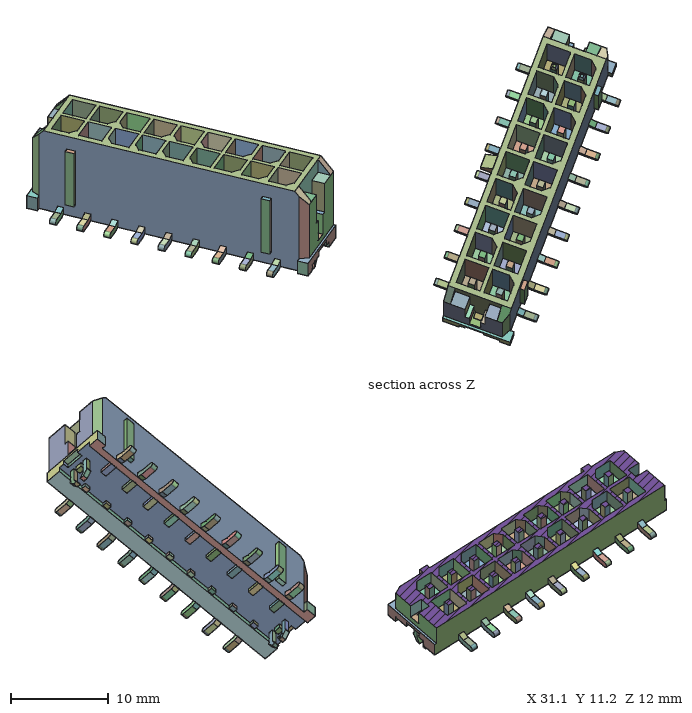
import cadquery as cq


LENGTH = 31.15
HOUSING_DEPTH = 6.88
HOUSING_TOP = 9.85
BACK = HOUSING_DEPTH / 2
FRONT = -BACK
BASE_TOP = 1.6
STANDOFF = 0.47
FOOT_FRONT = FRONT - STANDOFF
FOOT_LENGTH = 1.18

WING_SPAN = 30.65
WING_TOP = 8.25
END_WALL_SPAN = 27.82
BEVEL_LENGTH = 0.95
BEVEL_DEPTH = 0.47
RECESS_FRONT = -2.4
RECESS_BACK = 2.68
UPPER_SLOT_WIDTH = 2.15
UPPER_SLOT_FLOOR = 4.7
LOWER_SLOT_WIDTH = 1.2
LOWER_SLOT_FLOOR = 2.25
FLOOR_HOLE_SPAN = 29.2
FLOOR_HOLE_WIDTH = 0.9
FLOOR_HOLE_DEPTH = 0.3

CHANNEL_FRONT = -2.75
CHANNEL_BACK = 1.65
CHANNEL_HEIGHT = 0.65
NOTCH_WIDTH = 2.02
NOTCH_TOP = 1.2
NOTCH_DEPTH = 0.62

RIB_WIDTH = 1.0
RIB_CENTER = 10.85

LATCH_WIDTH = 1.45
LATCH_REACH = 1.4
LATCH_RAMP_TOP = 9.22
LATCH_RAMP_BOTTOM = 7.7
LATCH_UNDERSIDE = 6.9
LATCH_FILLET = 0.5

CAVITY_SIZE = 2.6
CAVITY_FLOOR = 2.18
KEY_LENGTH = 0.65
KEY_DEPTH = 0.75
BACK_ROW_KEYS = "-RLRLLRR-"
FRONT_ROW_KEYS = "R-LLLLRRR"
COLUMNS = len(FRONT_ROW_KEYS)
ROW_LENGTH = 24.02
PITCH = ROW_LENGTH / (COLUMNS - 1)
PIN_SIZE = 0.7
PIN_TOP = 6.85
TIP_INSET = 0.2
TIP_HEIGHT = 0.45
TAIL_REACH = 5.6
TAIL_BOTTOM = -0.11
TAIL_STEP = 0.295
STEP_START = 3.35
STEP_END = 4.17
STEP_OFFSET = 0.22

CLIP_SPAN = 28.88
CLIP_THICKNESS = 0.53
CLIP_BOTTOM = -2.12
CLIP_HALF_WIDTH = 1.15
LEG_INNER = 0.7
BARB_HALF_WIDTH = 1.28
BARB_TOP = -1.15
BARB_TIP = -1.3
LEG_BEND = -1.4
TOE_INNER = 0.25
TOE_OUTER = 0.72
TONGUE_WIDTH = 0.72


def box(x0, x1, y0, y1, z0, z1):
    return cq.Workplane("XY").box(x1 - x0, y1 - y0, z1 - z0, centered=False).translate((x0, y0, z0))


def both_ends(shape):
    """The shape at the -X end together with its mirror image at the +X end."""
    return shape.union(shape.mirror("YZ"))


def extrude_yz(points, x0, x1):
    """Prism along X with a closed outline given as (y, z) points."""
    return cq.Workplane("YZ").polyline(points).close().extrude(x1 - x0).translate((x0, 0, 0))


def make_upper_housing():
    half_span = WING_SPAN / 2
    half_top = END_WALL_SPAN / 2
    side = (
        cq.Workplane("XZ", origin=(0, BACK, 0))
        .polyline([
            (-half_span, 0),
            (half_span, 0),
            (half_span, WING_TOP),
            (half_top, HOUSING_TOP),
            (-half_top, HOUSING_TOP),
            (-half_span, WING_TOP),
        ])
        .close()
        .extrude(HOUSING_DEPTH)
    )
    bevel = (
        cq.Workplane("XY")
        .polyline([
            (-half_span, FRONT),
            (-half_span + BEVEL_LENGTH, FRONT),
            (-half_span, FRONT + BEVEL_DEPTH),
        ])
        .close()
        .extrude(HOUSING_TOP)
    )
    return side.cut(both_ends(bevel))


def make_base():
    half = LENGTH / 2
    base = box(-half, half, FRONT, BACK, 0, BASE_TOP)
    foot = box(-half, -half + FOOT_LENGTH, FOOT_FRONT, FRONT, 0, BASE_TOP)
    return base.union(both_ends(foot))


def make_wing_cuts():
    outer = -LENGTH / 2
    wall = -END_WALL_SPAN / 2
    upper = UPPER_SLOT_WIDTH / 2
    lower = LOWER_SLOT_WIDTH / 2
    hole = FLOOR_HOLE_WIDTH / 2
    recess = box(outer, wall, RECESS_FRONT, RECESS_BACK, WING_TOP, HOUSING_TOP)
    upper_slot = box(outer, wall, -upper, upper, UPPER_SLOT_FLOOR, WING_TOP)
    lower_slot = box(outer, wall, -lower, lower, LOWER_SLOT_FLOOR, UPPER_SLOT_FLOOR)
    floor_hole = box(
        -FLOOR_HOLE_SPAN / 2, wall, -hole, hole, LOWER_SLOT_FLOOR - FLOOR_HOLE_DEPTH, LOWER_SLOT_FLOOR
    )
    return both_ends(recess.union(upper_slot).union(lower_slot).union(floor_hole))


def make_underside_cuts():
    half = LENGTH / 2
    channel = box(-half, half, CHANNEL_FRONT, CHANNEL_BACK, 0, CHANNEL_HEIGHT)
    notch = box(-half, -half + NOTCH_DEPTH, -NOTCH_WIDTH / 2, NOTCH_WIDTH / 2, 0, NOTCH_TOP)
    return channel.union(both_ends(notch))


def make_ribs():
    x0 = -RIB_CENTER - RIB_WIDTH / 2
    return both_ends(box(x0, x0 + RIB_WIDTH, FOOT_FRONT, FRONT, BASE_TOP, WING_TOP))


def make_latch():
    tip = BACK + LATCH_REACH
    blend = LATCH_FILLET * (1 - 0.5 ** 0.5)
    return (
        cq.Workplane("YZ")
        .moveTo(BACK, LATCH_RAMP_TOP)
        .lineTo(tip, LATCH_RAMP_BOTTOM)
        .lineTo(tip, LATCH_UNDERSIDE)
        .lineTo(BACK + LATCH_FILLET, LATCH_UNDERSIDE)
        .threePointArc(
            (BACK + blend, LATCH_UNDERSIDE - blend),
            (BACK, LATCH_UNDERSIDE - LATCH_FILLET),
        )
        .close()
        .extrude(LATCH_WIDTH / 2, both=True)
    )


def make_cavity(key):
    half = CAVITY_SIZE / 2
    cavity = box(-half, half, -half, half, CAVITY_FLOOR, HOUSING_TOP)
    if key == "-":
        return cavity
    side = -half if key == "L" else half
    key_x = side + KEY_LENGTH if key == "L" else side - KEY_LENGTH
    corner = (
        cq.Workplane("XY")
        .polyline([(side, -half), (key_x, -half), (side, -half + KEY_DEPTH)])
        .close()
        .extrude(HOUSING_TOP)
    )
    return cavity.cut(corner)


def make_tapered_pin_top():
    """Top of a front row pin, narrowing evenly on all four sides."""
    tip_size = PIN_SIZE - 2 * TIP_INSET
    return (
        cq.Workplane("XY", origin=(0, -PITCH / 2, PIN_TOP - TIP_HEIGHT))
        .rect(PIN_SIZE, PIN_SIZE)
        .workplane(offset=TIP_HEIGHT)
        .rect(tip_size, tip_size)
        .loft(ruled=True)
    )


def make_front_contact(tapered):
    """Upright pin with a cranked, round-ended tail that leaves through the front wall."""
    half = PIN_SIZE / 2
    row = -PITCH / 2
    root_bottom = TAIL_BOTTOM + TAIL_STEP
    root_top = root_bottom + PIN_SIZE
    tail_top = TAIL_BOTTOM + PIN_SIZE
    shank_top = PIN_TOP - TIP_HEIGHT if tapered else PIN_TOP
    pin = box(-half, half, row - half, row + half, root_bottom, shank_top)
    if tapered:
        pin = pin.union(make_tapered_pin_top())
    tail = (
        cq.Workplane("YZ")
        .moveTo(row, root_bottom)
        .lineTo(row, root_top)
        .lineTo(-STEP_START, root_top)
        .lineTo(-STEP_END, tail_top)
        .lineTo(-TAIL_REACH + half, tail_top)
        .threePointArc((-TAIL_REACH, TAIL_BOTTOM + half), (-TAIL_REACH + half, TAIL_BOTTOM))
        .lineTo(-STEP_END + STEP_OFFSET, TAIL_BOTTOM)
        .lineTo(-STEP_START + STEP_OFFSET, root_bottom)
        .close()
        .extrude(half, both=True)
    )
    return pin.union(tail)


def make_clips():
    x0 = -CLIP_SPAN / 2
    x1 = x0 + CLIP_THICKNESS
    leg = extrude_yz(
        [
            (LEG_INNER, NOTCH_TOP),
            (CLIP_HALF_WIDTH, NOTCH_TOP),
            (CLIP_HALF_WIDTH, BARB_TOP),
            (BARB_HALF_WIDTH, BARB_TIP),
            (TOE_OUTER, CLIP_BOTTOM),
            (TOE_INNER, CLIP_BOTTOM),
            (LEG_INNER, LEG_BEND),
        ],
        x0,
        x1,
    )
    tongue = box(x0, x1, -TONGUE_WIDTH / 2, TONGUE_WIDTH / 2, 0, NOTCH_TOP)
    return both_ends(leg.union(leg.mirror("XZ")).union(tongue))


housing = make_upper_housing().union(make_base())
housing = housing.cut(make_wing_cuts()).cut(make_underside_cuts())
housing = housing.union(make_ribs()).union(make_latch())

for column in range(COLUMNS):
    x = column * PITCH - ROW_LENGTH / 2
    front_contact = make_front_contact(tapered=column == COLUMNS - 1)
    back_contact = front_contact.mirror("XZ")
    housing = housing.cut(make_cavity(FRONT_ROW_KEYS[column]).translate((x, -PITCH / 2, 0)))
    housing = housing.cut(make_cavity(BACK_ROW_KEYS[column]).translate((x, PITCH / 2, 0)))
    housing = housing.union(front_contact.translate((x, 0, 0)))
    housing = housing.union(back_contact.translate((x, 0, 0)))

result = housing.union(make_clips())